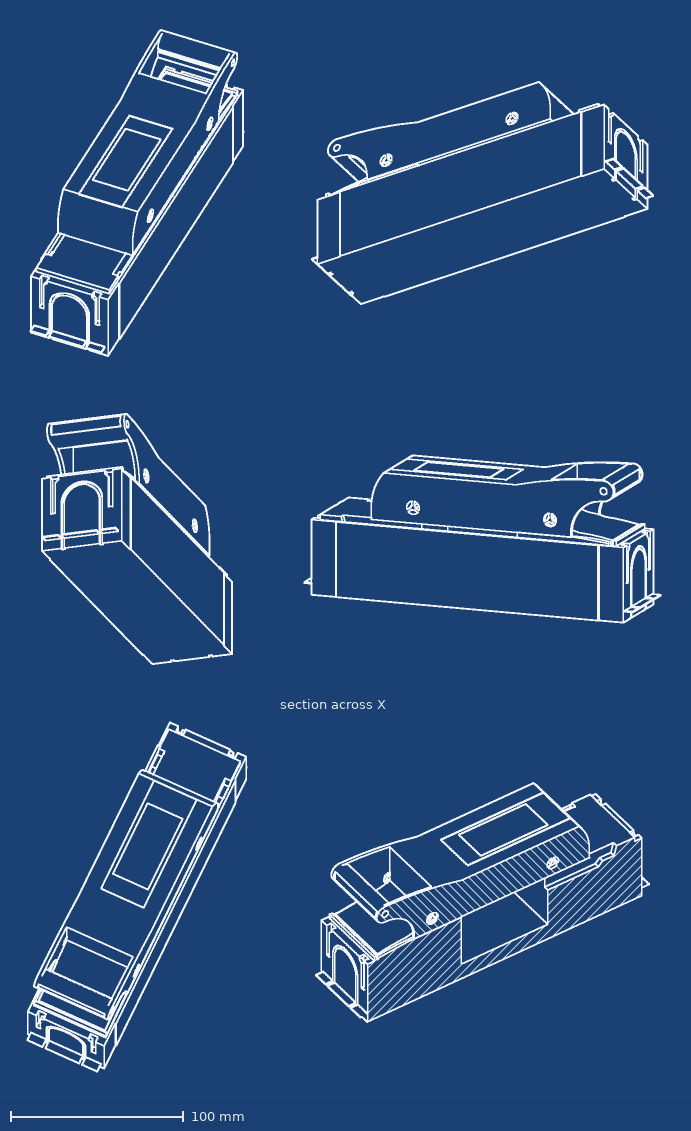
import cadquery as cq
import math

TOTAL_LENGTH = 204.0

BASE_LENGTH = 193.8
BASE_WIDTH = 49.0
BASE_HEIGHT = 44.9
WIDE_WIDTH = 50.0
WIDE_LENGTH = 163.6

PLATE_WIDTH = 46.1
PLATE_TOP = 48.0
PLATE_INNER_Y = 30.5
PLATE_OUTER_Y = 92.0
FUSE_WELL_FLOOR_Z = 11.6
LIP_THICKNESS = 2.0
LIP_GAP = 0.8
WEDGE_END_Y = 67.7
WEDGE_LOW_Z = 46.0

NOTCH_INNER_X = 19.4
NOTCH_END_Y = -79.0
NOTCH_BEVEL = 1.8
NOTCH_FLOOR_Z = 41.2
NOTCH_DEEP_FLOOR_Z = 38.2
NOTCH_RAMP_LOW_Y = -66.1
NOTCH_RAMP_HIGH_Y = -69.2

SLOT_OUTER_X = 19.0
SLOT_INNER_X = 16.3
SLOT_MOUTH_X = 14.3
SLOT_MOUTH_Z = 43.0
SLOT_BOTTOM_Z = 22.2
SLOT_FRONT_DEPTH = 2.0
SLOT_DEPTH = 3.3
ARCH_OUTER_RADIUS = 12.7
ARCH_INNER_RADIUS = 10.8
ARCH_CENTRE_Z = 27.3
ARCH_DEPTH = 2.0

TAB_EDGE_X = 22.5
TAB_THICKNESS = 0.6
TAB_BOTTOM_Z = 6.1

COVER_WIDTH = 47.3
COVER_FRONT_Y = -60.0
COVER_TOP_Z = 76.3
FRONT_ROUND_START_Z = 56.1
TOP_FRONT_Y = -52.5
TOP_REAR_Y = 29.8

GRIP_Y = 84.3
GRIP_Z = 77.1
GRIP_RADIUS = 6.1
GRIP_HOLE_RADIUS = 2.0
SCOOP_RADIUS = 20.5
OPENING_WIDTH = 42.5
OPENING_FRONT_Y = 50.8
GRIP_LEDGE_Z = 74.3
GRIP_LEDGE_WIDTH = 1.2
GRIP_GROOVE_DEPTH = 0.8
GRIP_GROOVE_HEIGHT = 2.0
GRIP_FOOT_STEP = 0.5

TONGUE_TIP_Y = 89.0
TONGUE_TIP_TOP_Z = 47.7
TONGUE_TIP_BOTTOM_Z = 46.5
TONGUE_KNEE_Y = 68.0
TONGUE_KNEE_TOP_Z = 50.6
TONGUE_KNEE_BOTTOM_Z = 48.2
TONGUE_SAG = 0.5
CREST_Y = 63.7
CREST_Z = 51.8
BOWL_RADIUS = 28.5

WINDOW_Z = 57.1
WINDOW_RADIUS = 3.9
HUB_RADIUS = 1.53
SPOKE_WIDTH = 1.5
SPOKE_COUNT = 3
FRONT_WINDOW_Y = -34.0
REAR_WINDOW_Y = 51.0

LABEL_HALF_WIDTH = 13.7
LABEL_REAR_Y = 20.0
LABEL_THICKNESS = 0.6
FIELD_HALF_WIDTH = 11.2
FIELD_REAR_Y = 9.0
FIELD_FRONT_Y = -38.4
FIELD_DEPTH = 0.2

BASE_END_Y = BASE_LENGTH / 2
ARM_THICKNESS = (COVER_WIDTH - OPENING_WIDTH) / 2
GRIP_TOP_Z = GRIP_Z + GRIP_RADIUS
SCOOP_Y = GRIP_Y - SCOOP_RADIUS
SCOOP_CENTRE_Z = GRIP_Z - GRIP_RADIUS - SCOOP_RADIUS


def block(x_range, y_range, z_range):
    """Box between two corner values along each axis."""
    size = [high - low for low, high in (x_range, y_range, z_range)]
    corner = (x_range[0], y_range[0], z_range[0])
    return cq.Workplane("XY").box(*size, centered=False).translate(corner)


def side_profile(half_width):
    """YZ sketch plane placed so that extruding twice the half width is centred on X."""
    return cq.Workplane("YZ").workplane(offset=-half_width)


def mirrored_pair(shape, plane):
    """The shape together with its mirror image."""
    return shape.union(shape.mirror(plane))


def circle_point(centre, radius, angle):
    """Point on a circle, with the angle in radians."""
    return (centre[0] + radius * math.cos(angle), centre[1] + radius * math.sin(angle))


def front_plate():
    half = PLATE_WIDTH / 2
    return block((-half, half), (-PLATE_OUTER_Y, -PLATE_INNER_Y), (BASE_HEIGHT, PLATE_TOP))


def rear_plate():
    half = PLATE_WIDTH / 2
    lip_front_y = PLATE_OUTER_Y - LIP_THICKNESS
    ramp_start_y = lip_front_y - LIP_GAP
    lip = block((-half, half), (lip_front_y, PLATE_OUTER_Y), (BASE_HEIGHT, PLATE_TOP))
    wedge = (
        side_profile(half)
        .polyline([
            (PLATE_INNER_Y, BASE_HEIGHT),
            (ramp_start_y, BASE_HEIGHT),
            (ramp_start_y, WEDGE_LOW_Z),
            (WEDGE_END_Y, PLATE_TOP),
            (PLATE_INNER_Y, PLATE_TOP),
        ])
        .close()
        .extrude(PLATE_WIDTH)
    )
    return lip, wedge


def fuse_well():
    half = PLATE_WIDTH / 2
    return block((-half, half), (-PLATE_INNER_Y, PLATE_INNER_Y), (FUSE_WELL_FLOOR_Z, BASE_HEIGHT))


def side_notches():
    notch = (
        side_profile(-NOTCH_INNER_X)
        .polyline([
            (-PLATE_INNER_Y, PLATE_TOP),
            (-PLATE_INNER_Y, NOTCH_DEEP_FLOOR_Z),
            (NOTCH_RAMP_LOW_Y, NOTCH_DEEP_FLOOR_Z),
            (NOTCH_RAMP_HIGH_Y, NOTCH_FLOOR_Z),
            (NOTCH_END_Y + NOTCH_BEVEL, NOTCH_FLOOR_Z),
            (NOTCH_END_Y, PLATE_TOP),
        ])
        .close()
        .extrude(PLATE_WIDTH / 2 - NOTCH_INNER_X)
    )
    return mirrored_pair(notch, "YZ")


def end_slots():
    """Two slots in the front end face, each with a wider mouth and a wider back."""
    slot = (
        cq.Workplane("XZ", origin=(0, -BASE_END_Y, 0))
        .polyline([
            (SLOT_OUTER_X, BASE_HEIGHT),
            (SLOT_OUTER_X, SLOT_BOTTOM_Z),
            (SLOT_INNER_X, SLOT_BOTTOM_Z),
            (SLOT_INNER_X, SLOT_MOUTH_Z - (SLOT_INNER_X - SLOT_MOUTH_X)),
            (SLOT_MOUTH_X, SLOT_MOUTH_Z),
            (SLOT_MOUTH_X, BASE_HEIGHT),
        ])
        .close()
        .extrude(-SLOT_FRONT_DEPTH)
    )
    slot_back = block(
        (SLOT_MOUTH_X, SLOT_OUTER_X),
        (SLOT_FRONT_DEPTH - BASE_END_Y, SLOT_DEPTH - BASE_END_Y),
        (SLOT_BOTTOM_Z, BASE_HEIGHT),
    )
    slot = slot.union(slot_back)
    return mirrored_pair(slot, "YZ")


def arch(radius):
    """Round-topped block standing on the bottom plane, sunk into the front end face."""
    return (
        cq.Workplane("XZ", origin=(0, -BASE_END_Y, 0))
        .moveTo(-radius, 0)
        .lineTo(-radius, ARCH_CENTRE_Z)
        .threePointArc((0, ARCH_CENTRE_Z + radius), (radius, ARCH_CENTRE_Z))
        .lineTo(radius, 0)
        .close()
        .extrude(-ARCH_DEPTH)
    )


def make_base():
    body = block((-BASE_WIDTH / 2, BASE_WIDTH / 2), (-BASE_END_Y, BASE_END_Y), (0, BASE_HEIGHT))
    middle = block(
        (-WIDE_WIDTH / 2, WIDE_WIDTH / 2), (-WIDE_LENGTH / 2, WIDE_LENGTH / 2), (0, BASE_HEIGHT)
    )
    middle = middle.edges("|Z").chamfer((WIDE_WIDTH - BASE_WIDTH) / 2)
    end_cuts = end_slots().union(arch(ARCH_OUTER_RADIUS).cut(arch(ARCH_INNER_RADIUS)))
    body = body.union(middle).union(front_plate())
    for piece in rear_plate():
        body = body.union(piece)
    return body.cut(fuse_well()).cut(side_notches()).cut(mirrored_pair(end_cuts, "XZ"))


def make_tab(x_range, y_range):
    return block(x_range, y_range, (TAB_BOTTOM_Z, TAB_BOTTOM_Z + TAB_THICKNESS))


def make_tabs():
    """Three tabs on each end face, parted where the arch groove runs."""
    x_ranges = [
        (-TAB_EDGE_X, -ARCH_OUTER_RADIUS),
        (-ARCH_INNER_RADIUS, ARCH_INNER_RADIUS),
        (ARCH_OUTER_RADIUS, TAB_EDGE_X),
    ]
    y_ranges = [(-TOTAL_LENGTH / 2, -BASE_END_Y), (BASE_END_Y, TOTAL_LENGTH / 2)]
    return [make_tab(x_range, y_range) for y_range in y_ranges for x_range in x_ranges]


def cover_outline():
    """Side silhouette: rounded front, flat top, and a handle curving up to the grip."""
    half = COVER_WIDTH / 2
    front_run = TOP_FRONT_Y - COVER_FRONT_Y
    front_rise = COVER_TOP_Z - FRONT_ROUND_START_Z
    front_radius = (front_run**2 + front_rise**2) / (2 * front_run)
    front_angle = math.asin(front_rise / front_radius)
    front_centre = (COVER_FRONT_Y + front_radius, FRONT_ROUND_START_Z)
    front_mid = circle_point(front_centre, front_radius, math.pi - front_angle / 2)

    rear_run = GRIP_Y - TOP_REAR_Y
    rear_rise = GRIP_TOP_Z - COVER_TOP_Z
    rear_radius = (rear_run**2 + rear_rise**2) / (2 * rear_rise)
    rear_angle = math.asin(rear_run / rear_radius)
    rear_centre = (GRIP_Y, GRIP_TOP_Z - rear_radius)
    rear_mid = circle_point(rear_centre, rear_radius, math.pi / 2 + rear_angle / 2)

    scoop_mid = circle_point((GRIP_Y, SCOOP_CENTRE_Z), SCOOP_RADIUS, math.radians(135))
    return (
        side_profile(half)
        .moveTo(COVER_FRONT_Y, PLATE_TOP)
        .lineTo(COVER_FRONT_Y, FRONT_ROUND_START_Z)
        .threePointArc(front_mid, (TOP_FRONT_Y, COVER_TOP_Z))
        .lineTo(TOP_REAR_Y, COVER_TOP_Z)
        .threePointArc(rear_mid, (GRIP_Y, GRIP_TOP_Z))
        .threePointArc((GRIP_Y + GRIP_RADIUS, GRIP_Z), (GRIP_Y, GRIP_Z - GRIP_RADIUS))
        .threePointArc(scoop_mid, (SCOOP_Y, SCOOP_CENTRE_Z))
        .lineTo(SCOOP_Y, PLATE_TOP)
        .close()
        .extrude(COVER_WIDTH)
    )


def handle_opening():
    """Space between the two handle arms, all around the grip bar."""
    half = OPENING_WIDTH / 2
    between_arms = block((-half, half), (OPENING_FRONT_Y, GRIP_Y + GRIP_RADIUS), (PLATE_TOP, GRIP_TOP_Z))
    return between_arms.cut(grip_bar())


def grip_bar():
    """Round-topped bar between the arms, with a groove in front and a ledge at the rear."""
    half = OPENING_WIDTH / 2
    front_y = GRIP_Y - GRIP_RADIUS
    rear_y = GRIP_Y + GRIP_RADIUS
    bar = (
        side_profile(half)
        .moveTo(front_y - GRIP_FOOT_STEP, PLATE_TOP)
        .lineTo(front_y - GRIP_FOOT_STEP, GRIP_LEDGE_Z)
        .lineTo(front_y, GRIP_LEDGE_Z)
        .lineTo(front_y, GRIP_Z)
        .threePointArc((GRIP_Y, GRIP_TOP_Z), (rear_y, GRIP_Z))
        .lineTo(rear_y, PLATE_TOP)
        .close()
        .extrude(OPENING_WIDTH)
    )
    groove = block(
        (-half, half),
        (front_y, front_y + GRIP_GROOVE_DEPTH),
        (GRIP_LEDGE_Z, GRIP_LEDGE_Z + GRIP_GROOVE_HEIGHT),
    )
    ledge = block((-half, half), (rear_y - GRIP_LEDGE_WIDTH, rear_y), (GRIP_LEDGE_Z, GRIP_TOP_Z))
    return bar.cut(groove).cut(ledge)


def tongue():
    """Bowed flap between the arms, rising to a crest and a hollow in front of it."""
    bowl_run = CREST_Y - OPENING_FRONT_Y
    bowl_centre = (CREST_Y, CREST_Z + BOWL_RADIUS)
    bowl_angle = math.asin(bowl_run / BOWL_RADIUS)
    bowl_mid = circle_point(bowl_centre, BOWL_RADIUS, -math.pi / 2 - bowl_angle / 2)
    bowl_end = circle_point(bowl_centre, BOWL_RADIUS, -math.pi / 2 - bowl_angle)
    mid_y = (TONGUE_TIP_Y + TONGUE_KNEE_Y) / 2
    mid_top_z = (TONGUE_TIP_TOP_Z + TONGUE_KNEE_TOP_Z) / 2 + TONGUE_SAG
    mid_bottom_z = (TONGUE_TIP_BOTTOM_Z + TONGUE_KNEE_BOTTOM_Z) / 2 + TONGUE_SAG
    return (
        side_profile(OPENING_WIDTH / 2)
        .moveTo(TONGUE_TIP_Y, TONGUE_TIP_BOTTOM_Z)
        .lineTo(TONGUE_TIP_Y, TONGUE_TIP_TOP_Z)
        .threePointArc((mid_y, mid_top_z), (TONGUE_KNEE_Y, TONGUE_KNEE_TOP_Z))
        .lineTo(CREST_Y, CREST_Z)
        .threePointArc(bowl_mid, bowl_end)
        .lineTo(OPENING_FRONT_Y, TONGUE_KNEE_BOTTOM_Z)
        .lineTo(TONGUE_KNEE_Y, TONGUE_KNEE_BOTTOM_Z)
        .threePointArc((mid_y, mid_bottom_z), (TONGUE_TIP_Y, TONGUE_TIP_BOTTOM_Z))
        .close()
        .extrude(OPENING_WIDTH)
    )


def spoked_window(y, x_start, depth):
    """Round opening along X that leaves a hub held by three spokes."""
    plane = cq.Workplane("YZ", origin=(x_start, y, WINDOW_Z))
    window = plane.circle(WINDOW_RADIUS).extrude(depth)
    window = window.cut(plane.circle(HUB_RADIUS).extrude(depth))
    spoke = plane.rect(SPOKE_WIDTH, WINDOW_RADIUS, centered=(True, False)).extrude(depth)
    axis_start = (0, y, WINDOW_Z)
    axis_end = (1, y, WINDOW_Z)
    for index in range(SPOKE_COUNT):
        window = window.cut(spoke.rotate(axis_start, axis_end, index * 360 / SPOKE_COUNT))
    return window


def grip_hole():
    return (
        cq.Workplane("YZ", origin=(-COVER_WIDTH / 2, GRIP_Y, GRIP_Z))
        .circle(GRIP_HOLE_RADIUS)
        .extrude(COVER_WIDTH)
    )


def label_blank():
    """Plate filling the shallow recess in the top face of the cover, open to its front edge."""
    return block(
        (-LABEL_HALF_WIDTH, LABEL_HALF_WIDTH),
        (TOP_FRONT_Y, LABEL_REAR_Y),
        (COVER_TOP_Z - LABEL_THICKNESS, COVER_TOP_Z),
    )


def make_cover():
    body = cover_outline().cut(handle_opening()).union(tongue()).cut(grip_hole())
    body = body.cut(spoked_window(FRONT_WINDOW_Y, -COVER_WIDTH / 2, COVER_WIDTH))
    rear_window = spoked_window(REAR_WINDOW_Y, -COVER_WIDTH / 2, ARM_THICKNESS)
    body = body.cut(mirrored_pair(rear_window, "YZ"))
    return body.cut(label_blank())


def make_label():
    field = block(
        (-FIELD_HALF_WIDTH, FIELD_HALF_WIDTH),
        (FIELD_FRONT_Y, FIELD_REAR_Y),
        (COVER_TOP_Z - FIELD_DEPTH, COVER_TOP_Z),
    )
    return label_blank().cut(field)


base = make_base()
cover = make_cover()
label = make_label()
tabs = make_tabs()

result = cq.Compound.makeCompound([body.solids().val() for body in (base, cover, label, *tabs)])